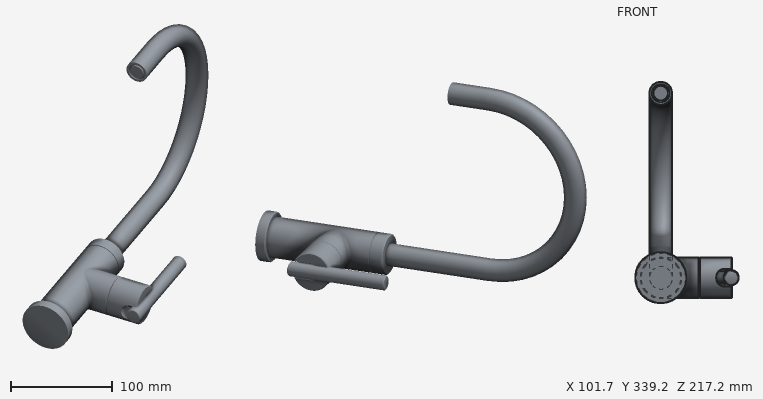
import cadquery as cq

FLANGE_RADIUS = 25.0
FLANGE_LENGTH = 10.2
HOUSING_RADIUS = 20.5
HOUSING_TOP = 132.0
EDGE_BREAK = 1.0
COLLAR_LENGTH = 13.5
COLLAR_GROOVE_WIDTH = 1.5
COLLAR_GROOVE_DEPTH = 0.7

TUBE_RADIUS = 11.2
BEND_RADIUS = 90.5
BEND_START_Y = 237.5
OUTLET_Y = 197.5
OUTLET_Z = 2 * BEND_RADIUS
OUTLET_GROOVE_RADIUS = 8.8
OUTLET_DISC_RADIUS = 7.0
OUTLET_GROOVE_DEPTH = 1.7

BRANCH_RADIUS = 20.0
BRANCH_Y = 76.5
BRANCH_END_X = 38.0
BRANCH_FILLET = 3.0

KNOB_END_X = 70.2
LEVER_RADIUS = 7.5
LEVER_X = 69.2
LEVER_END_Y = 155.5
LEVER_FRONT_RADIUS = 23.0
POCKET_RADIUS = 8.8
POCKET_CENTRE_X = 63.0
STEM_RADIUS = 6.0


def y_cylinder(radius, start, end, x=0.0, z=0.0):
    """Cylinder along Y between two Y positions."""
    base = cq.Workplane(cq.Plane((x, start, z), xDir=(1, 0, 0), normal=(0, 1, 0)))
    return base.circle(radius).extrude(end - start)


def x_cylinder(radius, start, end):
    """Cylinder on the branch axis between two X positions."""
    base = cq.Workplane(cq.Plane((start, BRANCH_Y, 0), xDir=(0, 1, 0), normal=(1, 0, 0)))
    return base.circle(radius).extrude(end - start)


def make_housing():
    """Barrel with its filleted side branch, collar groove and base flange."""
    barrel = y_cylinder(HOUSING_RADIUS, 0, HOUSING_TOP).faces(">Y").chamfer(EDGE_BREAK)
    branch = x_cylinder(BRANCH_RADIUS, 0, BRANCH_END_X).faces(">X").chamfer(EDGE_BREAK)
    branch_root = cq.selectors.BoxSelector(
        (HOUSING_RADIUS / 10, BRANCH_Y - BRANCH_RADIUS, -BRANCH_RADIUS),
        (HOUSING_RADIUS, BRANCH_Y + BRANCH_RADIUS, BRANCH_RADIUS),
    )
    housing = barrel.union(branch).edges(branch_root).fillet(BRANCH_FILLET)

    groove_end = HOUSING_TOP - COLLAR_LENGTH + COLLAR_GROOVE_WIDTH / 2
    groove_start = groove_end - COLLAR_GROOVE_WIDTH
    groove_core = y_cylinder(HOUSING_RADIUS - COLLAR_GROOVE_DEPTH, groove_start, groove_end)
    groove = y_cylinder(FLANGE_RADIUS, groove_start, groove_end).cut(groove_core)

    flange = y_cylinder(FLANGE_RADIUS, 0, FLANGE_LENGTH).faces(">Y").chamfer(EDGE_BREAK)
    return housing.cut(groove).union(flange)


def make_spout():
    """Bent tube with a ring groove in its outlet face."""
    path = (
        cq.Workplane("YZ")
        .moveTo(HOUSING_TOP, 0)
        .lineTo(BEND_START_Y, 0)
        .threePointArc((BEND_START_Y + BEND_RADIUS, BEND_RADIUS), (BEND_START_Y, OUTLET_Z))
        .lineTo(OUTLET_Y, OUTLET_Z)
    )
    root_plane = cq.Plane((0, HOUSING_TOP, 0), xDir=(1, 0, 0), normal=(0, 1, 0))
    tube = cq.Workplane(root_plane).circle(TUBE_RADIUS).sweep(path)

    groove_end = OUTLET_Y + OUTLET_GROOVE_DEPTH
    groove_core = y_cylinder(OUTLET_DISC_RADIUS, OUTLET_Y, groove_end, z=OUTLET_Z)
    groove = y_cylinder(OUTLET_GROOVE_RADIUS, OUTLET_Y, groove_end, z=OUTLET_Z).cut(groove_core)
    return tube.cut(groove)


def make_knob_pocket():
    """Round-ended slot, open to the front and to the end face, with a half-round floor around the stem."""
    front_y = BRANCH_Y - LEVER_FRONT_RADIUS
    end_x = LEVER_X + LEVER_RADIUS
    floor = x_cylinder(POCKET_RADIUS, POCKET_CENTRE_X, end_x)
    round_end = y_cylinder(POCKET_RADIUS, front_y, BRANCH_Y, x=POCKET_CENTRE_X)
    slot = (
        cq.Workplane("XY")
        .box(end_x - POCKET_CENTRE_X, LEVER_FRONT_RADIUS, 2 * POCKET_RADIUS, centered=(False, False, True))
        .translate((POCKET_CENTRE_X, front_y, 0))
    )
    return slot.union(round_end).union(floor)


def make_lever():
    """Round bar along Y whose front end follows a cylinder about the branch axis."""
    lever = y_cylinder(LEVER_RADIUS, BRANCH_Y, LEVER_END_Y, x=LEVER_X)
    lever = lever.faces(">Y").chamfer(EDGE_BREAK)
    front = y_cylinder(LEVER_RADIUS, BRANCH_Y - LEVER_FRONT_RADIUS, BRANCH_Y, x=LEVER_X)
    front_limit = x_cylinder(LEVER_FRONT_RADIUS, LEVER_X - LEVER_RADIUS, LEVER_X + LEVER_RADIUS)
    front = front.intersect(front_limit).faces("<Y").edges().fillet(EDGE_BREAK)
    return lever.union(front)


def make_handle():
    """Knob with the lever carried on a stem inside the knob pocket."""
    knob = x_cylinder(BRANCH_RADIUS, BRANCH_END_X, KNOB_END_X)
    knob = knob.faces("<X or >X").chamfer(EDGE_BREAK)
    stem = x_cylinder(STEM_RADIUS, POCKET_CENTRE_X - POCKET_RADIUS, LEVER_X)
    return knob.cut(make_knob_pocket()).union(stem).union(make_lever())


faucet = make_housing().union(make_spout())
handle = make_handle()
result = cq.Compound.makeCompound([faucet.val(), handle.val()])